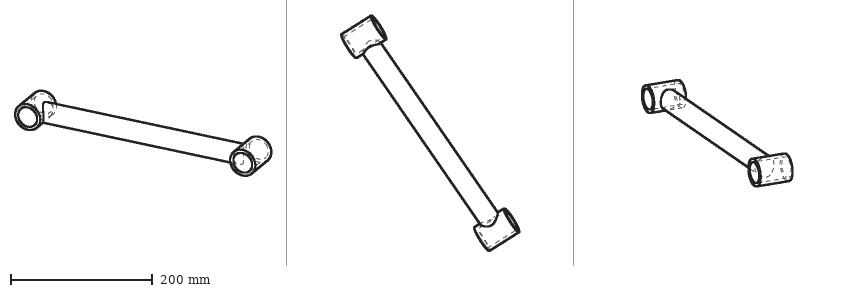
import cadquery as cq

overall_length = 380.0
sleeve_diameter = 40.0
sleeve_bore = 30.0
sleeve_width = 50.0

rod_diameter = 30.0

sleeve_spacing = overall_length - sleeve_diameter
sleeve_centers = [(-sleeve_spacing / 2, 0), (sleeve_spacing / 2, 0)]


def sleeve_cylinders(diameter):
    """Cylinders along Y, one on each sleeve axis."""
    return (
        cq.Workplane("XZ", origin=(0, sleeve_width / 2, 0))
        .pushPoints(sleeve_centers)
        .circle(diameter / 2)
        .extrude(sleeve_width)
    )


rod = (
    cq.Workplane("YZ", origin=(-sleeve_spacing / 2, 0, 0))
    .circle(rod_diameter / 2)
    .extrude(sleeve_spacing)
)

result = rod.union(sleeve_cylinders(sleeve_diameter)).cut(sleeve_cylinders(sleeve_bore))